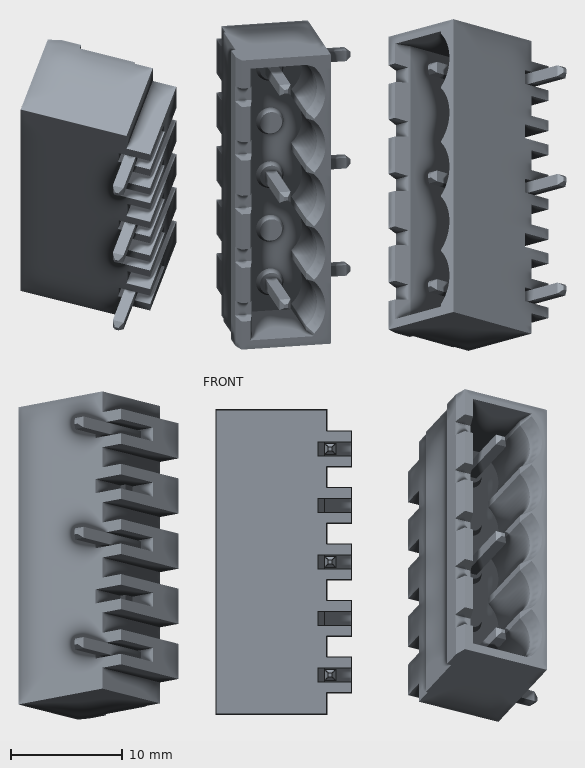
import cadquery as cq

HEIGHT = 27.4
BODY_LENGTH = 9.97
TOTAL_LENGTH = 12.2
BODY_WIDTH = 8.52
POLES = 5
FIRST_POLE_Z = 3.53
PITCH = (HEIGHT - 2 * FIRST_POLE_Z) / (POLES - 1)
POLE_HEIGHTS = [FIRST_POLE_Z + i * PITCH for i in range(POLES)]
PIN_HEIGHTS = POLE_HEIGHTS[::2]

LIP_LENGTH = 3.05
LIP_BEVEL_LENGTH = 1.15
LIP_BEVEL_DROP = 0.33
MIDDLE_WIDTH = 8.1
MIDDLE_END = 8.2
REAR_WIDTH = 7.95

RIB_HEIGHT = 3.23
SLOT_HEIGHT = 1.3
SLOT_START = 9.18

POCKET_DEPTH = 8.0
END_WALL = 0.82
LEAD_IN = 1.53
MOUTH_TOP = 7.37
POCKET_TOP = 6.93
MOUTH_BOTTOM = 1.53
POCKET_BOTTOM = 1.95
MOUTH_SCALLOP_RADIUS = 3.42
SCALLOP_RADIUS = 2.95

NOTCH_DEPTH = 1.32
NOTCH_MOUTH_HEIGHT = 1.75
NOTCH_FLOOR_HEIGHT = 1.4

PIN_AXIS_Y = 3.92
PIN_SIZE = 1.01
PIN_TIP_SIZE = 0.35
PIN_TIP_LENGTH = 0.47
PIN_FRONT = 0.9
TAIL_LENGTH = 3.97
TAIL_AXIS_X = 10.28
BOSS_BASE_RADIUS = 1.25
BOSS_TOP_RADIUS = 1.01
BOSS_HEIGHT = 0.55


def box(x0, x1, y0, y1, z0, z1):
    """Axis-aligned block between two opposite corners."""
    return cq.Workplane("XY").box(x1 - x0, y1 - y0, z1 - z0, centered=False).translate((x0, y0, z0))


def prism(points, z0, z1):
    """XY outline extruded along Z."""
    return cq.Workplane("XY").workplane(offset=z0).polyline(points).close().extrude(z1 - z0)


def cone(x, z, base_radius, end_radius, length):
    """Cone frustum on the pole axis at height z, growing from x toward +X, or -X if length < 0."""
    direction = cq.Vector(1 if length > 0 else -1, 0, 0)
    start = cq.Vector(x, PIN_AXIS_Y, z)
    return cq.Workplane(cq.Solid.makeCone(base_radius, end_radius, abs(length), start, direction))


def make_housing():
    """Solid body with its stepped +Y side and one rear rib per pole."""
    body = prism(
        [
            (0, 0),
            (BODY_LENGTH, 0),
            (BODY_LENGTH, REAR_WIDTH),
            (MIDDLE_END, REAR_WIDTH),
            (MIDDLE_END, MIDDLE_WIDTH),
            (LIP_LENGTH, MIDDLE_WIDTH),
            (LIP_LENGTH, BODY_WIDTH),
            (LIP_BEVEL_LENGTH, BODY_WIDTH),
            (0, BODY_WIDTH - LIP_BEVEL_DROP),
        ],
        0,
        HEIGHT,
    )
    for z in POLE_HEIGHTS:
        body = body.union(
            box(BODY_LENGTH, TOTAL_LENGTH, 0, REAR_WIDTH, z - RIB_HEIGHT / 2, z + RIB_HEIGHT / 2)
        )
    return body


def scallop_bore(z):
    """Straight scallop behind the lead-in."""
    axis = cq.Vector(1, 0, 0)
    start = cq.Vector(LEAD_IN, PIN_AXIS_Y, z)
    return cq.Workplane(cq.Solid.makeCylinder(SCALLOP_RADIUS, POCKET_DEPTH - LEAD_IN, start, axis))


def make_pocket():
    """Plug cavity with a tapered lead-in and one scallop per pole."""
    pocket = prism(
        [
            (0, MOUTH_BOTTOM),
            (LEAD_IN, POCKET_BOTTOM),
            (POCKET_DEPTH, POCKET_BOTTOM),
            (POCKET_DEPTH, POCKET_TOP),
            (LEAD_IN, POCKET_TOP),
            (0, MOUTH_TOP),
        ],
        END_WALL,
        HEIGHT - END_WALL,
    )
    scallop_limit = box(0, POCKET_DEPTH, 0, PIN_AXIS_Y, END_WALL, HEIGHT - END_WALL)
    for z in POLE_HEIGHTS:
        lead_in = cone(0, z, MOUTH_SCALLOP_RADIUS, SCALLOP_RADIUS, LEAD_IN)
        scallop = lead_in.union(scallop_bore(z)).intersect(scallop_limit)
        pocket = pocket.union(scallop)
    return pocket


def make_notch(z):
    """Coding notch narrowing from the mouth to its floor."""
    mouth = NOTCH_MOUTH_HEIGHT / 2
    floor = NOTCH_FLOOR_HEIGHT / 2
    return (
        cq.Workplane("XZ", origin=(0, BODY_WIDTH, z))
        .polyline([(0, -mouth), (NOTCH_DEPTH, -floor), (NOTCH_DEPTH, floor), (0, mouth)])
        .close()
        .extrude(BODY_WIDTH - POCKET_TOP)
    )


def make_slot(z):
    """Rear slot, deeper from the tail rearward so that the bent pin fits in."""
    z0 = z - SLOT_HEIGHT / 2
    z1 = z + SLOT_HEIGHT / 2
    shallow = box(SLOT_START, TOTAL_LENGTH, 0, PIN_AXIS_Y - PIN_SIZE / 2, z0, z1)
    deep = box(TAIL_AXIS_X - PIN_SIZE / 2, TOTAL_LENGTH, 0, PIN_AXIS_Y + PIN_SIZE / 2, z0, z1)
    return shallow.union(deep)


def make_tip(plane):
    """Pyramid frustum that ends a pin, growing along the plane normal."""
    return (
        cq.Workplane(plane)
        .rect(PIN_SIZE, PIN_SIZE)
        .workplane(offset=PIN_TIP_LENGTH)
        .rect(PIN_TIP_SIZE, PIN_TIP_SIZE)
        .loft()
    )


def make_pin(z):
    """Square pin bent at a right angle, with a tapered tip at both ends."""
    half = PIN_SIZE / 2
    contact_start = PIN_FRONT + PIN_TIP_LENGTH
    tail_start = PIN_TIP_LENGTH - TAIL_LENGTH
    contact = box(contact_start, TAIL_AXIS_X + half, PIN_AXIS_Y - half, PIN_AXIS_Y + half, z - half, z + half)
    tail = box(TAIL_AXIS_X - half, TAIL_AXIS_X + half, tail_start, PIN_AXIS_Y, z - half, z + half)
    contact_tip = make_tip(cq.Plane((contact_start, PIN_AXIS_Y, z), (0, 1, 0), (-1, 0, 0)))
    tail_tip = make_tip(cq.Plane((TAIL_AXIS_X, tail_start, z), (1, 0, 0), (0, -1, 0)))
    return contact.union(tail).union(contact_tip).union(tail_tip)


result = make_housing().cut(make_pocket())
for pole_z in POLE_HEIGHTS:
    result = result.cut(make_notch(pole_z)).cut(make_slot(pole_z))
    result = result.union(cone(POCKET_DEPTH, pole_z, BOSS_BASE_RADIUS, BOSS_TOP_RADIUS, -BOSS_HEIGHT))
for pin_z in PIN_HEIGHTS:
    result = result.union(make_pin(pin_z))